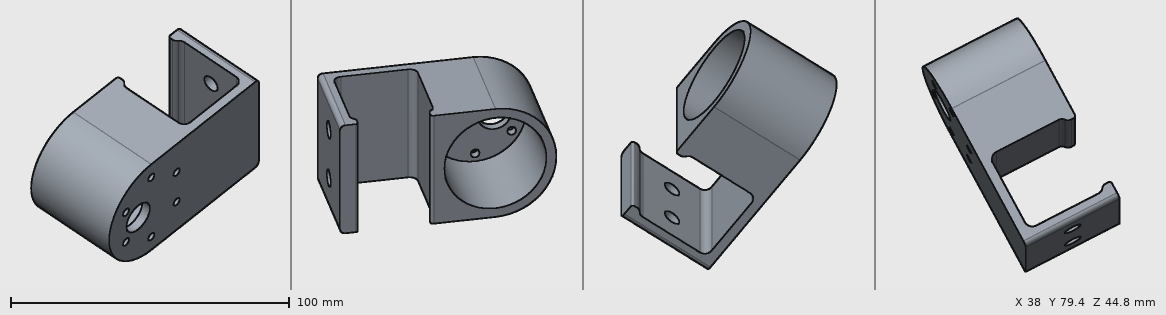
import cadquery as cq
import math

width = 38.0
length = 79.4
height = 44.8
housing_radius = height / 2
back_y = length - housing_radius
back_corner_radius = 2.0

arm_thickness = 4.8
web_thickness = 3.7
slot_width = 30.6
slot_top = back_y - arm_thickness
slot_middle = slot_top - slot_width / 2
slot_end = width - web_thickness
slot_corner_radius = 3.0

lip_height = 2.0
lip_nose_radius = 1.0
lip_flat_end = 2.1
lip_curve_radius = 2.5

bore_diameter = 37.4
bore_depth = width - web_thickness
shaft_hole_diameter = 12.4
shaft_offset = 7.0
screw_hole_diameter = 3.2
screw_circle_radius = 15.5
screw_count = 6

arm_hole_diameter = 6.4
arm_hole_spacing = 20.0


def make_body():
    block = (
        cq.Workplane("XY")
        .box(width, back_y, height, centered=(False, False, True))
        .edges("|X and >Y")
        .fillet(back_corner_radius)
    )
    housing = cq.Workplane("YZ").circle(housing_radius).extrude(width)
    return block.union(housing)


def make_slot():
    return (
        cq.Workplane("XY")
        .box(slot_end, slot_width, height, centered=(False, True, True))
        .edges("|Z and >X")
        .fillet(slot_corner_radius)
        .translate((0, slot_middle, 0))
    )


def make_lip():
    """Lip on the far slot wall: rounded nose, short flat, then an S-curve of two equal arcs."""
    peak = slot_top - lip_height
    curve_run = math.sqrt(4 * lip_curve_radius * lip_height - lip_height**2)
    curve_middle = (lip_flat_end + curve_run / 2, slot_top - lip_height / 2)
    curve_end = (lip_flat_end + curve_run, slot_top)
    return (
        cq.Workplane("XY")
        .moveTo(0, slot_top)
        .lineTo(0, peak + lip_nose_radius)
        .radiusArc((lip_nose_radius, peak), -lip_nose_radius)
        .lineTo(lip_flat_end, peak)
        .radiusArc(curve_middle, -lip_curve_radius)
        .radiusArc(curve_end, lip_curve_radius)
        .close()
        .extrude(height / 2, both=True)
    )


def make_housing_holes():
    bore = cq.Workplane("YZ").circle(bore_diameter / 2).extrude(bore_depth)
    shaft_hole = cq.Workplane("YZ").center(-shaft_offset, 0).circle(shaft_hole_diameter / 2).extrude(width)
    screw_holes = (
        cq.Workplane("YZ")
        .polarArray(screw_circle_radius, 90, 360, screw_count)
        .circle(screw_hole_diameter / 2)
        .extrude(width)
    )
    return bore.union(shaft_hole).union(screw_holes)


def make_arm_holes():
    return (
        cq.Workplane("XZ", origin=(width / 2, back_y, 0))
        .rarray(0.8, arm_hole_spacing, 1, 2)
        .circle(arm_hole_diameter / 2)
        .extrude(arm_thickness)
    )


far_lip = make_lip()
near_lip = far_lip.mirror("XZ", (0, slot_middle, 0))
slot = make_slot().cut(far_lip).cut(near_lip)

result = make_body().cut(slot).cut(make_housing_holes()).cut(make_arm_holes())